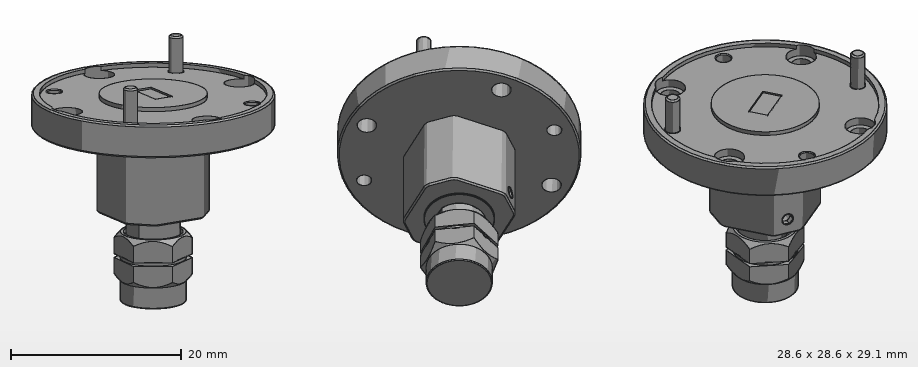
import cadquery as cq
import math

SLEEVE_TOP = 2.53
LOWER_NUT_TOP = 5.25
UPPER_NUT_BOTTOM = 5.68
UPPER_NUT_TOP = 8.42
WRENCH_FLAT_TOP = 10.08
COLLAR_BOTTOM = 10.63
BODY_BOTTOM = 10.8
FLANGE_BOTTOM = 21.23
FLANGE_TOP = 25.22
PIN_TOP = 29.12

FLANGE_DIAMETER = 28.57
EDGE_CHAMFER = 0.2
RECESS_DIAMETER = 26.67
RECESS_DEPTH = 0.5
BOSS_DIAMETER = 12.7
WAVEGUIDE_WIDTH = 4.78
WAVEGUIDE_HEIGHT = 2.4
WAVEGUIDE_DEPTH = 0.2

BOLT_CIRCLE_RADIUS = 11.9
SCREW_HOLE_DIAMETER = 2.27
COUNTERBORE_DIAMETER = 3.55
COUNTERBORE_DEPTH = 1.0
PIN_DIAMETER = 1.7
PIN_CHAMFER = 0.2
PIN_RELIEF_DIAMETER = 1.85
PIN_RELIEF_DEPTH = 0.12
ALIGNMENT_HOLE_DIAMETER = 1.75
ALIGNMENT_HOLE_CHAMFER = 0.12

BODY_WIDTH = 11.68
BODY_CORNER_CUT = 2.55
BODY_CORNER_FILLET = 1.3
SOCKET_MOUTH_DIAMETER = 1.45
SOCKET_MOUTH_DEPTH = 0.1
SOCKET_ACROSS_FLATS = 1.22
SOCKET_DEPTH = 0.75
SOCKET_HEIGHT = 12.8
SOCKET_TURN = -10
SOCKET_POINT_ANGLE = 118

CONNECTOR_TURN = -2.5
COLLAR_DIAMETER = 8.33
COLLAR_CHAMFER = 0.1
NECK_DIAMETER = 5.35
WRENCH_ROUND_DIAMETER = 6.35
WRENCH_FLAT_WIDTH = 5.55
NUT_ACROSS_FLATS = 7.98
NUT_CHAMFER = 0.75
NUT_BORE_DIAMETER = 7.0
NUT_BORE_DEPTH = 0.58
SLEEVE_DIAMETER = 7.78
SLEEVE_CHAMFER = 0.12

RECESS_FLOOR = FLANGE_TOP - RECESS_DEPTH


def cylinder(diameter, bottom, top):
    """Upright cylinder on the main axis between two heights."""
    return cq.Workplane("XY", origin=(0, 0, bottom)).circle(diameter / 2).extrude(top - bottom)


def on_bolt_circle(shape, angles):
    """Copies of a shape built on the main axis, moved out to the bolt circle."""
    copies = cq.Workplane("XY")
    for angle in angles:
        x = BOLT_CIRCLE_RADIUS * math.cos(math.radians(angle))
        y = BOLT_CIRCLE_RADIUS * math.sin(math.radians(angle))
        copies = copies.add(shape.translate((x, y, 0)))
    return copies.combine()


def make_flange():
    """Chamfered disc with a recessed face around a flush central boss."""
    flange = cylinder(FLANGE_DIAMETER, FLANGE_BOTTOM, FLANGE_TOP).edges().chamfer(EDGE_CHAMFER)
    recess = cylinder(RECESS_DIAMETER, RECESS_FLOOR, FLANGE_TOP)
    boss = cylinder(BOSS_DIAMETER, RECESS_FLOOR, FLANGE_TOP)
    waveguide = cq.Workplane("XY", origin=(0, 0, FLANGE_TOP)).rect(WAVEGUIDE_WIDTH, WAVEGUIDE_HEIGHT)
    return flange.cut(recess.cut(boss)).cut(waveguide.extrude(-WAVEGUIDE_DEPTH))


def make_screw_holes():
    """Four counterbored through holes on the X and Y axes."""
    hole = cylinder(SCREW_HOLE_DIAMETER, FLANGE_BOTTOM, FLANGE_TOP)
    counterbore = cylinder(COUNTERBORE_DIAMETER, RECESS_FLOOR - COUNTERBORE_DEPTH, FLANGE_TOP)
    return on_bolt_circle(hole.union(counterbore), (0, 90, 180, 270))


def make_alignment_holes():
    """Two countersunk through holes for the mating pins."""
    hole = cylinder(ALIGNMENT_HOLE_DIAMETER, FLANGE_BOTTOM, FLANGE_TOP)
    radius = ALIGNMENT_HOLE_DIAMETER / 2
    mouth_floor = cq.Vector(0, 0, RECESS_FLOOR - ALIGNMENT_HOLE_CHAMFER)
    mouth_radius = radius + ALIGNMENT_HOLE_CHAMFER
    mouth = cq.Workplane(cq.Solid.makeCone(radius, mouth_radius, ALIGNMENT_HOLE_CHAMFER, pnt=mouth_floor))
    return on_bolt_circle(hole.union(mouth), (45, 225))


def make_pins():
    """Two chamfered pins standing in the flange."""
    pin = cylinder(PIN_DIAMETER, FLANGE_BOTTOM + EDGE_CHAMFER, PIN_TOP)
    return on_bolt_circle(pin.faces(">Z").edges().chamfer(PIN_CHAMFER), (135, 315))


def make_pin_reliefs():
    """Shallow rings around the foot of each pin."""
    relief = cylinder(PIN_RELIEF_DIAMETER, RECESS_FLOOR - PIN_RELIEF_DEPTH, RECESS_FLOOR)
    return on_bolt_circle(relief, (135, 315))


def make_body():
    """Square block with cut and rounded corners."""
    body = cq.Workplane("XY", origin=(0, 0, BODY_BOTTOM)).rect(BODY_WIDTH, BODY_WIDTH)
    body = body.extrude(FLANGE_BOTTOM - BODY_BOTTOM).edges("|Z").chamfer(BODY_CORNER_CUT)
    body = body.edges("|Z").fillet(BODY_CORNER_FILLET)
    body = body.faces("<Z").edges().chamfer(EDGE_CHAMFER)
    return body


def make_side_socket():
    """Round mouth, hexagonal socket and conical end, sunk square to one cut corner of the body."""
    corner = (BODY_WIDTH - BODY_CORNER_CUT) / 2
    face = cq.Plane(origin=(-corner, -corner, SOCKET_HEIGHT), xDir=(1, -1, 0), normal=(-1, -1, 0))
    turned_face = face.rotated((0, 0, SOCKET_TURN))
    socket_diameter = SOCKET_ACROSS_FLATS / math.cos(math.radians(30))
    mouth = cq.Workplane(face).circle(SOCKET_MOUTH_DIAMETER / 2).extrude(-SOCKET_MOUTH_DEPTH)
    socket = cq.Workplane(turned_face).polygon(6, socket_diameter).extrude(-SOCKET_DEPTH)
    cone_radius = SOCKET_ACROSS_FLATS / 2
    cone_height = cone_radius / math.tan(math.radians(SOCKET_POINT_ANGLE / 2))
    cone_base = face.toWorldCoords((0, 0, -SOCKET_DEPTH))
    cone = cq.Solid.makeCone(cone_radius, 0, cone_height, pnt=cone_base, dir=-face.zDir)
    return mouth.union(socket).union(cq.Workplane(cone))


def make_nut(bottom, top, chamfered_end):
    """Hexagon whose corners are turned down to a 45 degree cone at one end."""
    corner_diameter = NUT_ACROSS_FLATS / math.cos(math.radians(30))
    nut = cq.Workplane("XY", origin=(0, 0, bottom)).polygon(6, corner_diameter).extrude(top - bottom)
    turned = cylinder(corner_diameter, bottom, top).faces(chamfered_end).edges().chamfer(NUT_CHAMFER)
    return nut.intersect(turned)


def make_wrench_part():
    """Round shank with two flats, rooted at the floor of the upper nut's bore."""
    shank = cylinder(WRENCH_ROUND_DIAMETER, UPPER_NUT_TOP - NUT_BORE_DEPTH, WRENCH_FLAT_TOP)
    slab = cq.Workplane("XY").rect(WRENCH_ROUND_DIAMETER, WRENCH_FLAT_WIDTH).extrude(WRENCH_FLAT_TOP)
    return shank.intersect(slab)


def make_connector():
    """Collar, neck, wrench flats, two hexagons and a sleeve stacked on the main axis."""
    collar = cylinder(COLLAR_DIAMETER, COLLAR_BOTTOM, BODY_BOTTOM).faces("<Z").edges().chamfer(COLLAR_CHAMFER)
    neck = cylinder(NECK_DIAMETER, WRENCH_FLAT_TOP, COLLAR_BOTTOM)
    upper_nut = make_nut(UPPER_NUT_BOTTOM, UPPER_NUT_TOP, ">Z")
    upper_nut = upper_nut.cut(cylinder(NUT_BORE_DIAMETER, UPPER_NUT_TOP - NUT_BORE_DEPTH, UPPER_NUT_TOP))
    lower_nut = make_nut(SLEEVE_TOP, LOWER_NUT_TOP, "<Z")
    sleeve = cylinder(SLEEVE_DIAMETER, 0, UPPER_NUT_BOTTOM).faces("<Z").edges().chamfer(SLEEVE_CHAMFER)
    connector = collar.union(neck).union(make_wrench_part())
    connector = connector.union(upper_nut).union(lower_nut).union(sleeve)
    return connector.rotate((0, 0, 0), (0, 0, 1), CONNECTOR_TURN)


flange = make_flange().cut(make_screw_holes()).cut(make_alignment_holes()).cut(make_pin_reliefs())
body = make_body().cut(make_side_socket())
result = flange.union(make_pins()).union(body).union(make_connector())